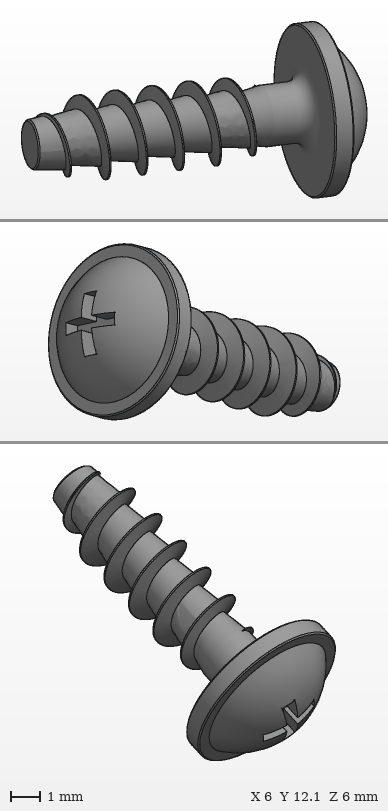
import cadquery as cq
import math

HEAD_HEIGHT = 2.08
FLANGE_RADIUS = 3.0
FLANGE_THICKNESS = 0.7
FLANGE_EDGE_CHAMFER = 0.05
DOME_BASE_RADIUS = 2.54
DOME_HEIGHT = HEAD_HEIGHT - FLANGE_THICKNESS

RECESS_SPAN = 2.22
RECESS_WIDTH = 0.45
RECESS_FLARED_WIDTH = 0.55
RECESS_DEPTH = 0.8

SHANK_LENGTH = 10.0
SHANK_RADIUS = 1.06
NECK_FILLET = 0.5
PLAIN_LENGTH = 1.5
CORE_RADIUS = 0.865
CORE_CONE_LENGTH = 1.0
TIP_CHAMFER = 0.05
TIP_RADIUS = CORE_RADIUS - TIP_CHAMFER

PITCH = 1.34
THREAD_RADIUS = 1.5
CREST_HALF_WIDTH = 0.03
FLANK_ANGLE = 15.0
THREAD_ROOT_RADIUS = 0.6
THREAD_PHASE_Y = -1.64
THREAD_START_TURN = -0.4
RUN_IN_END_TURN = 1.0
RUN_OUT_START_TURN = 4.78
THREAD_END_TURN = 6.2
RUN_IN_RISE_PER_TURN = 0.28
RUN_OUT_FALL_PER_TURN = 0.48

RAMP_TOP_RADIUS = 1.05
RAMP_SLOPE = 0.15
RAMP_ROOT_RADIUS = 0.7
RAMP_AXIAL_LENGTH = 0.97 * PITCH
RAMP_START_TURN = -0.3
RAMP_END_TURN = 6.6
TIP_CONE_ANGLE = 7.0
RAIL_POINTS_PER_TURN = 16


def helical_solid(profile, start_turn, end_turn):
    """Sweep a closed profile along the thread helix.

    profile(turn) lists (radius, axial offset towards the head) corners and may vary with the turn.
    Turn 0 is at the -X side and Y = THREAD_PHASE_Y; the helix then passes -Z, +X and +Z.
    """
    count = math.ceil((end_turn - start_turn) * RAIL_POINTS_PER_TURN) + 1
    turns = [start_turn + (end_turn - start_turn) * i / (count - 1) for i in range(count)]

    def corner_point(turn, corner):
        radius, offset = profile(turn)[corner]
        angle = 2 * math.pi * turn
        y = THREAD_PHASE_Y - PITCH * turn + offset
        return cq.Vector(-radius * math.cos(angle), y, -radius * math.sin(angle))

    corners = range(len(profile(start_turn)))
    rails = [cq.Edge.makeSpline([corner_point(t, c) for t in turns]) for c in corners]
    faces = [cq.Face.makeRuledSurface(rails[c - 1], rails[c]) for c in corners]
    for turn in (start_turn, end_turn):
        outline = cq.Wire.makePolygon([corner_point(turn, c) for c in corners], close=True)
        faces.append(cq.Face.makeFromWires(outline))
    solid = cq.Solid.makeSolid(cq.Shell.makeShell(faces))
    return cq.Workplane(obj=solid.fix())


def crest_radius(turn):
    """Full thread radius, reduced over the run-in and over the run-out."""
    run_in_loss = RUN_IN_RISE_PER_TURN * max(0.0, RUN_IN_END_TURN - turn)
    run_out_loss = RUN_OUT_FALL_PER_TURN * max(0.0, turn - RUN_OUT_START_TURN)
    return THREAD_RADIUS - run_in_loss - run_out_loss


def thread_profile(turn):
    crest = crest_radius(turn)
    root_half_width = CREST_HALF_WIDTH + (crest - THREAD_ROOT_RADIUS) * math.tan(math.radians(FLANK_ANGLE))
    return [
        (THREAD_ROOT_RADIUS, root_half_width),
        (crest, CREST_HALF_WIDTH),
        (crest, -CREST_HALF_WIDTH),
        (THREAD_ROOT_RADIUS, -root_half_width),
    ]


def ramp_profile(turn):
    """The ramp keeps one profile, whatever the turn."""
    foot_radius = RAMP_TOP_RADIUS - RAMP_SLOPE * RAMP_AXIAL_LENGTH
    return [
        (RAMP_ROOT_RADIUS, 0.0),
        (RAMP_TOP_RADIUS, 0.0),
        (foot_radius, -RAMP_AXIAL_LENGTH),
        (RAMP_ROOT_RADIUS, -RAMP_AXIAL_LENGTH),
    ]


def make_head_and_core():
    dome_mid_radius = DOME_BASE_RADIUS / 2
    sphere_radius = (DOME_BASE_RADIUS**2 + DOME_HEIGHT**2) / (2 * DOME_HEIGHT)
    dome_mid_y = HEAD_HEIGHT - sphere_radius + math.sqrt(sphere_radius**2 - dome_mid_radius**2)
    half_section = (
        cq.Workplane("XY")
        .moveTo(0, HEAD_HEIGHT)
        .threePointArc((dome_mid_radius, dome_mid_y), (DOME_BASE_RADIUS, FLANGE_THICKNESS))
        .lineTo(FLANGE_RADIUS - FLANGE_EDGE_CHAMFER, FLANGE_THICKNESS)
        .lineTo(FLANGE_RADIUS, FLANGE_THICKNESS - FLANGE_EDGE_CHAMFER)
        .lineTo(FLANGE_RADIUS, FLANGE_EDGE_CHAMFER)
        .lineTo(FLANGE_RADIUS - FLANGE_EDGE_CHAMFER, 0)
        .lineTo(SHANK_RADIUS + NECK_FILLET, 0)
        .radiusArc((SHANK_RADIUS, -NECK_FILLET), -NECK_FILLET)
        .lineTo(SHANK_RADIUS, -PLAIN_LENGTH)
        .lineTo(CORE_RADIUS, -PLAIN_LENGTH - CORE_CONE_LENGTH)
        .lineTo(CORE_RADIUS, -SHANK_LENGTH + TIP_CHAMFER)
        .lineTo(TIP_RADIUS, -SHANK_LENGTH)
        .lineTo(0, -SHANK_LENGTH)
        .close()
    )
    return half_section.revolve(360, (0, 0), (0, 1))


def threaded_zone():
    """Cylinder that bounds the thread between the plain shank and the tip."""
    return (
        cq.Workplane("XZ", origin=(0, -PLAIN_LENGTH, 0))
        .circle(FLANGE_RADIUS)
        .extrude(SHANK_LENGTH - PLAIN_LENGTH)
    )


def add_core_ramp(body):
    tip_cone = (
        cq.Workplane("XZ", origin=(0, TIP_CHAMFER - SHANK_LENGTH, 0))
        .circle(CORE_RADIUS)
        .extrude(-SHANK_LENGTH, taper=-TIP_CONE_ANGLE)
    )
    ramp = helical_solid(ramp_profile, RAMP_START_TURN, RAMP_END_TURN)
    return body.union(ramp.intersect(tip_cone))


def add_thread(body):
    section_ends = [THREAD_START_TURN, RUN_IN_END_TURN, RUN_OUT_START_TURN, THREAD_END_TURN]
    for start_turn, end_turn in zip(section_ends, section_ends[1:]):
        section = helical_solid(thread_profile, start_turn, end_turn)
        body = body.union(section.intersect(threaded_zone()))
    return body


def cut_cross_recess(body):
    """Blind cross slot; the arms along Z flare towards their ends."""
    end = RECESS_SPAN / 2
    narrow = RECESS_WIDTH / 2
    wide = RECESS_FLARED_WIDTH / 2
    floor = cq.Workplane("XZ", origin=(0, HEAD_HEIGHT - RECESS_DEPTH, 0))
    straight_arms = floor.rect(RECESS_SPAN, RECESS_WIDTH).extrude(-RECESS_DEPTH)
    flared_outline = [
        (-wide, -end),
        (wide, -end),
        (narrow, 0),
        (wide, end),
        (-wide, end),
        (-narrow, 0),
    ]
    flared_arms = floor.polyline(flared_outline).close().extrude(-RECESS_DEPTH)
    return body.cut(straight_arms).cut(flared_arms)


result = make_head_and_core()
result = cut_cross_recess(result)
result = add_thread(result)
result = add_core_ramp(result)